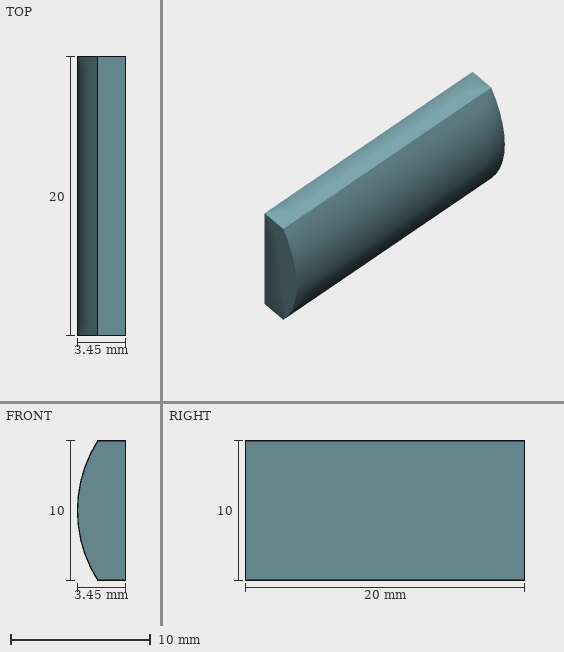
import cadquery as cq

length = 20.0
height = 10.0
center_thickness = 3.45
edge_thickness = 2.0

back_x = center_thickness / 2
edge_x = back_x - edge_thickness
crown_x = back_x - center_thickness

result = (
    cq.Workplane("XZ")
    .moveTo(back_x, -height / 2)
    .lineTo(back_x, height / 2)
    .lineTo(edge_x, height / 2)
    .threePointArc((crown_x, 0), (edge_x, -height / 2))
    .close()
    .extrude(length / 2, both=True)
)